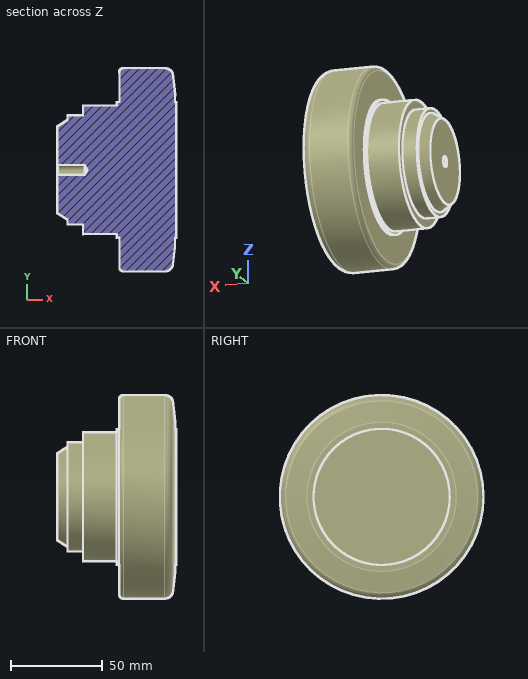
import cadquery as cq
import math

nose_length = 5.7
pilot_end = 14.1
hub_end = 32.7
flange_start = 34.0
flange_back = 65.0
total_length = 65.5

nose_tip_radius = 23.9
nose_base_radius = 27.5
pilot_radius = 30.1
hub_radius = 35.5
pad_radius = 37.4
back_face_radius = 41.0
flange_radius = 56.0

front_round = 2.5
back_round = 5.0
back_round_start = 58.95
back_round_end_angle = math.radians(20.0)

hole_radius = 2.6
hole_mouth_radius = 3.0
hole_depth = 15.0
drill_point_angle = math.radians(118.0)


def round_point(center_x, center_r, radius, angle):
    """Point on a rim round; the angle is measured from +X towards the rim."""
    return (center_x + radius * math.cos(angle), center_r + radius * math.sin(angle))


def revolve_about_x(profile):
    return profile.close().revolve(360, (0, 0, 0), (1, 0, 0))


def make_body():
    front_center = (flange_start + front_round, flange_radius - front_round)
    front_middle = round_point(*front_center, front_round, math.radians(135))

    back_center = (back_round_start, flange_radius - back_round)
    back_middle = round_point(*back_center, back_round, (math.pi / 2 + back_round_end_angle) / 2)
    back_end = round_point(*back_center, back_round, back_round_end_angle)

    profile = (
        cq.Workplane("XY")
        .moveTo(0, 0)
        .lineTo(0, nose_tip_radius)
        .lineTo(nose_length, nose_base_radius)
        .lineTo(nose_length, pilot_radius)
        .lineTo(pilot_end, pilot_radius)
        .lineTo(pilot_end, hub_radius)
        .lineTo(hub_end, hub_radius)
        .lineTo(hub_end, pad_radius)
        .lineTo(flange_start, pad_radius)
        .lineTo(flange_start, flange_radius - front_round)
        .threePointArc(front_middle, (flange_start + front_round, flange_radius))
        .lineTo(back_round_start, flange_radius)
        .threePointArc(back_middle, back_end)
        .lineTo(flange_back, back_face_radius)
        .lineTo(flange_back, pad_radius)
        .lineTo(total_length, pad_radius)
        .lineTo(total_length, 0)
    )
    return revolve_about_x(profile)


def make_center_hole():
    mouth_depth = hole_mouth_radius - hole_radius
    point_length = hole_radius / math.tan(drill_point_angle / 2)
    profile = (
        cq.Workplane("XY")
        .moveTo(0, 0)
        .lineTo(0, hole_mouth_radius)
        .lineTo(mouth_depth, hole_radius)
        .lineTo(hole_depth, hole_radius)
        .lineTo(hole_depth + point_length, 0)
    )
    return revolve_about_x(profile)


result = make_body().cut(make_center_hole())